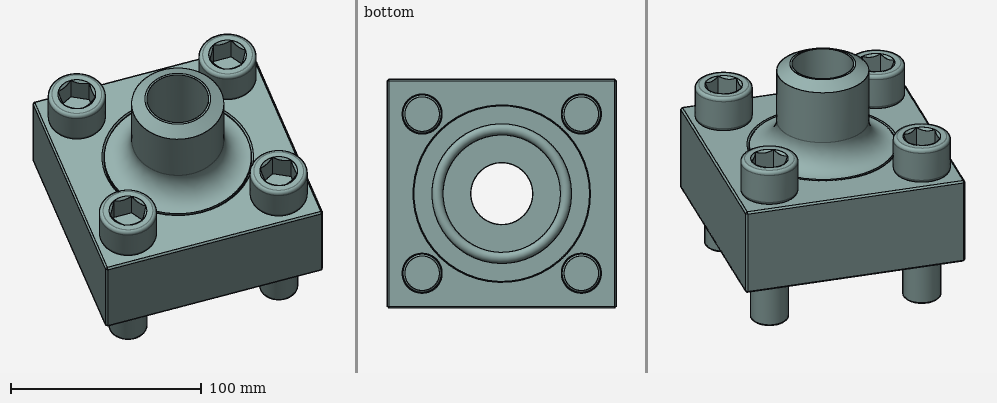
import cadquery as cq
import math

block_side = 120.0
block_height = 48.2
block_chamfer = 1.0

tube_diameter = 48.3
tube_bore = 32.3
tube_lip_diameter = 34.5
tube_bevel_angle = 30.0
tube_height = 48.0
hub_diameter = 77.0
flare_radius = 14.1
foot_diameter = 92.0
foot_drop = 1.5
foot_height = 12.3

hub_bore = 77.5
foot_bore = 93.0
hub_bore_chamfer = 1.0

groove_inner_diameter = 61.5
groove_outer_diameter = 73.2
seal_drop = 1.5

screw_offset = 41.7
screw_diameter = 20.0
screw_length = 75.0
screw_end_chamfer = 1.0
screw_hole = 21.0
head_diameter = 30.0
head_height = 20.0
head_fillet = 2.0
socket_flats = 17.1
socket_depth = 13.5
socket_mouth_angle = 45.0

hub_top = block_height + tube_height
flare_top = block_height + flare_radius
bevel_height = (tube_diameter - tube_lip_diameter) / 2 * math.tan(math.radians(tube_bevel_angle))
foot_top = foot_height - foot_drop
seal_section = (groove_outer_diameter - groove_inner_diameter) / 2
seal_center_radius = (groove_outer_diameter + groove_inner_diameter) / 4
groove_depth = seal_section - seal_drop
screw_tip = block_height - screw_length
socket_corners = socket_flats / math.cos(math.radians(30))

screw_centers = [
    (screw_offset, screw_offset),
    (-screw_offset, screw_offset),
    (-screw_offset, -screw_offset),
    (screw_offset, -screw_offset),
]


def cylinder(diameter, bottom, top):
    return cq.Workplane("XY").workplane(offset=bottom).circle(diameter / 2).extrude(top - bottom)


def make_block():
    block = cq.Workplane("XY").box(block_side, block_side, block_height, centered=(True, True, False))
    block = block.edges().chamfer(block_chamfer)
    block = block.cut(cylinder(hub_bore, 0, block_height))
    block = block.cut(cylinder(foot_bore, 0, foot_top))
    block = block.edges(cq.selectors.RadiusNthSelector(0)).edges(">Z").chamfer(hub_bore_chamfer)
    for x, y in screw_centers:
        block = block.cut(cylinder(screw_hole, 0, block_height).translate((x, y, 0)))
    return block


def make_hub():
    tube_radius = tube_diameter / 2
    hub = (
        cq.Workplane("XZ")
        .moveTo(tube_bore / 2, -foot_drop)
        .lineTo(foot_diameter / 2, -foot_drop)
        .lineTo(foot_diameter / 2, foot_top)
        .lineTo(hub_diameter / 2, foot_top)
        .lineTo(hub_diameter / 2, block_height)
        .radiusArc((tube_radius, flare_top), flare_radius)
        .lineTo(tube_radius, hub_top - bevel_height)
        .lineTo(tube_lip_diameter / 2, hub_top)
        .lineTo(tube_bore / 2, hub_top)
        .close()
        .revolve(360, (0, 0), (0, 1))
    )
    groove_top = groove_depth - foot_drop
    groove = cylinder(groove_outer_diameter, -foot_drop, groove_top).cut(
        cylinder(groove_inner_diameter, -foot_drop, groove_top)
    )
    return hub.cut(groove)


def make_seal():
    center_height = groove_depth - foot_drop - seal_section / 2
    return (
        cq.Workplane("XZ")
        .center(seal_center_radius, center_height)
        .circle(seal_section / 2)
        .revolve(360, (-seal_center_radius, 0), (-seal_center_radius, 1))
    )


def make_screw():
    head_top = block_height + head_height
    head = cylinder(head_diameter, block_height, head_top).edges().fillet(head_fillet)
    shank = cylinder(screw_diameter, screw_tip, block_height + head_fillet)
    shank = shank.faces("<Z").chamfer(screw_end_chamfer)
    socket = (
        cq.Workplane("XY")
        .workplane(offset=head_top - socket_depth)
        .polygon(6, socket_corners)
        .extrude(socket_depth)
    )
    mouth_radius = socket_corners / 2
    mouth_depth = mouth_radius * math.tan(math.radians(socket_mouth_angle))
    mouth = cq.Workplane(
        cq.Solid.makeCone(mouth_radius, 0, mouth_depth, cq.Vector(0, 0, head_top), cq.Vector(0, 0, -1))
    )
    return head.union(shank).cut(socket).cut(mouth)


block = make_block()
hub = make_hub()
seal = make_seal()

first_x, first_y = screw_centers[0]
first_screw = make_screw().translate((first_x, first_y, 0))
screws = [first_screw.rotate((0, 0, 0), (0, 0, 1), 90 * i) for i in range(len(screw_centers))]

result = cq.Compound.makeCompound([block.val(), hub.val(), seal.val(), *[s.val() for s in screws]])